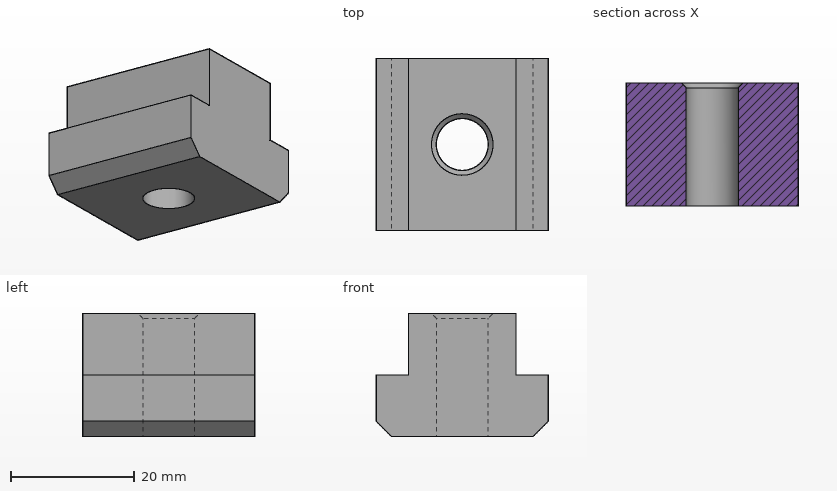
import cadquery as cq

width = 28.0
length = 28.0
height = 20.0

flange_height = 10.0
stem_width = 17.5
bottom_chamfer = 2.5

hole_diameter = 8.4
countersink_diameter = 10.0
countersink_depth = (countersink_diameter - hole_diameter) / 2


def make_t_body():
    """T-slot nut body, extruded along Y and centred on the Z axis, base at Z = 0."""
    half_width = width / 2
    half_stem = stem_width / 2
    right_half = [
        (half_width - bottom_chamfer, 0),
        (half_width, bottom_chamfer),
        (half_width, flange_height),
        (half_stem, flange_height),
        (half_stem, height),
    ]
    left_half = [(-x, z) for x, z in reversed(right_half)]
    profile = cq.Workplane("XZ").polyline(right_half + left_half).close()
    return profile.extrude(length / 2, both=True)


def make_hole_cutter():
    """Through hole with a conical countersink at the top face."""
    hole_radius = hole_diameter / 2
    half_section = [
        (0, 0),
        (hole_radius, 0),
        (hole_radius, height - countersink_depth),
        (countersink_diameter / 2, height),
        (0, height),
    ]
    section = cq.Workplane("XZ").polyline(half_section).close()
    return section.revolve(360, (0, 0, 0), (0, 1, 0))


result = make_t_body().cut(make_hole_cutter())